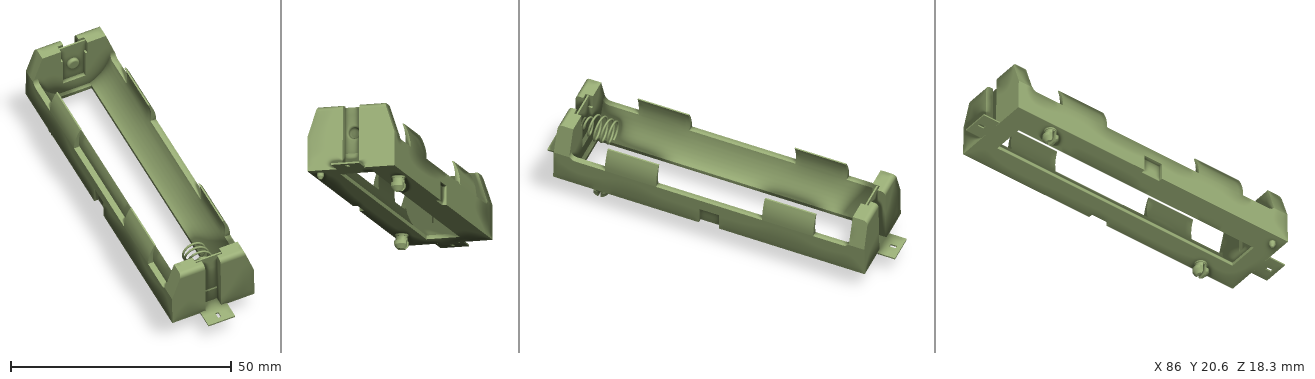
import cadquery as cq
import math

HOUSING_LENGTH = 77.0
HOUSING_WIDTH = 20.6
HOUSING_HEIGHT = 14.95
RAIL_TOP = 7.2
RAIL_FILLET = 1.5
WALL_INNER_X = 34.55
WALL_DRAFT = 0.22
WALL_TOP_FILLET = 1.1
BEVEL_START_Z = 8.0
BEVEL_INSET = 2.3

CELL_AXIS_Z = 9.1
CELL_RADIUS = 9.1
FLOOR_OPENING_X = 33.6
FLOOR_OPENING_Y = 3.95

CLIP_CENTER_X = 19.4
CLIP_LENGTH = 12.6
CLIP_TOP = 12.7

RECESS_WIDTH = 5.0
RECESS_HEIGHT = 4.4
RECESS_DEPTH = 1.0

PEG_X = 27.6
PEG_Y = 8.0
PEG_FLANGE_DIAMETER = 3.1
PEG_FLANGE_BOTTOM = -0.4
PEG_SHAFT_DIAMETER = 2.75
PEG_BARB_DIAMETER = 3.7
PEG_BARB_WIDTH = 2.75
PEG_BARB_TOP = -1.55
PEG_BARB_TAPER_TOP = -2.4
PEG_BOTTOM = -3.35
PEG_TIP_DIAMETER = 2.1
PEG_SPLIT_WIDTH = 0.8
PEG_SPLIT_TOP = -0.7

PIN_X = -35.8
PIN_DIAMETER = 1.55
PIN_SHOULDER = -0.8
PIN_TIP_DIAMETER = 0.7
PIN_BOTTOM = -1.5

SHEET = 0.39
TAB_TIP_X = -43.0
TAB_NECK_X = -38.6
TAB_WIDTH = 6.7
NECK_WIDTH = 3.9
TAB_HOLE_X = -41.1
TAB_HOLE_LENGTH = 1.55
TAB_HOLE_WIDTH = 0.8
PLATE_FACE_X = -35.9
STRIP_FOOT_X = -36.0
BEND_RADIUS = 0.35
PLATE_BOTTOM = 3.95
PLATE_TOP = 14.8
PLATE_WIDTH = 6.5

GROOVE_OUTER_X = -36.35
GROOVE_WIDTH = 6.6
WINDOW_WIDTH = 5.7
WINDOW_TOP = 11.5

CONTACT_AXIS_Z = 8.85

DIMPLE_HEIGHT = 0.95
DIMPLE_OUTER_DIAMETER = 2.9
DIMPLE_TIP_FILLET = 0.4
DIMPLE_INNER_DIAMETER = 2.6
DIMPLE_INNER_FILLET = 0.5

WIRE_DIAMETER = 0.5
SPRING_TIP_X = 28.1
SPRING_PITCH = 1.6
SPRING_TIP_RADIUS = 2.7
SPRING_BELLY_RADIUS = 3.0
SPRING_BELLY_X = 32.3
SPRING_NECK_X = 35.1
SPRING_ROOT_RADIUS = 1.3
SPRING_ROOT_GAP = 0.1
FLAT_TURNS = 0.35
FULL_PITCH_TURNS = 0.85
POINTS_PER_TURN = 12

PICK_MARGIN = 0.1


def box(x_min, x_max, width, z_min, z_max):
    """Block centred on the XZ plane."""
    return (
        cq.Workplane("XY", origin=((x_min + x_max) / 2, 0, z_min))
        .rect(x_max - x_min, width)
        .extrude(z_max - z_min)
    )


def both_ends(shape):
    return shape.union(shape.mirror("YZ"))


def edges_at(x, z):
    """Selector for edges that run across the housing at one X and Z."""
    return cq.selectors.BoxSelector(
        (x - PICK_MARGIN, -HOUSING_WIDTH, z - PICK_MARGIN),
        (x + PICK_MARGIN, HOUSING_WIDTH, z + PICK_MARGIN),
    )


def tray_blank():
    """Two tall end walls joined by low rails, bevelled along the sides."""
    foot_x = HOUSING_LENGTH / 2
    top_x = foot_x - WALL_DRAFT
    long_body = (
        cq.Workplane("XZ", origin=(0, HOUSING_WIDTH / 2, 0))
        .polyline([
            (-foot_x, 0), (foot_x, 0),
            (top_x, HOUSING_HEIGHT), (WALL_INNER_X, HOUSING_HEIGHT),
            (WALL_INNER_X, RAIL_TOP), (-WALL_INNER_X, RAIL_TOP),
            (-WALL_INNER_X, HOUSING_HEIGHT), (-top_x, HOUSING_HEIGHT),
        ])
        .close()
        .extrude(HOUSING_WIDTH)
    )
    wall_top_edges = edges_at(-top_x, HOUSING_HEIGHT) + edges_at(top_x, HOUSING_HEIGHT)
    rail_corners = edges_at(-WALL_INNER_X, RAIL_TOP) + edges_at(WALL_INNER_X, RAIL_TOP)
    long_body = long_body.edges("|Y").edges(wall_top_edges).fillet(WALL_TOP_FILLET)
    long_body = long_body.edges("|Y").edges(rail_corners).fillet(RAIL_FILLET)

    half_width = HOUSING_WIDTH / 2
    cross_section = (
        cq.Workplane("YZ", origin=(-foot_x, 0, 0))
        .polyline([
            (-half_width, 0), (half_width, 0), (half_width, BEVEL_START_Z),
            (half_width - BEVEL_INSET, HOUSING_HEIGHT),
            (-half_width + BEVEL_INSET, HOUSING_HEIGHT),
            (-half_width, BEVEL_START_Z),
        ])
        .close()
        .extrude(HOUSING_LENGTH)
    )
    return long_body.intersect(cross_section)


def clips():
    """Curved spring fingers that rise from the rails and hug the cell."""
    outer_radius = HOUSING_WIDTH / 2
    fingers = cq.Workplane("XY")
    for center_x in (-CLIP_CENTER_X, CLIP_CENTER_X):
        start_x = center_x - CLIP_LENGTH / 2
        arch = (
            cq.Workplane("YZ", origin=(start_x, 0, RAIL_TOP))
            .circle(outer_radius)
            .extrude(CLIP_LENGTH)
        )
        height_band = box(start_x, start_x + CLIP_LENGTH, HOUSING_WIDTH, RAIL_TOP, CLIP_TOP)
        fingers = fingers.union(arch.intersect(height_band))
    return fingers


def cell_trough():
    """Cylindrical cell space with a flat bottom at the floor opening's edge."""
    drop = math.sqrt(CELL_RADIUS**2 - FLOOR_OPENING_Y**2)
    cell = (
        cq.Workplane("YZ", origin=(-WALL_INNER_X, 0, CELL_AXIS_Z))
        .circle(CELL_RADIUS)
        .extrude(2 * WALL_INNER_X)
    )
    above_floor = box(
        -WALL_INNER_X, WALL_INNER_X, HOUSING_WIDTH, CELL_AXIS_Z - drop, CELL_AXIS_Z + CELL_RADIUS
    )
    return cell.intersect(above_floor)


def contact_pocket():
    """Slot, groove and window in the -X end wall."""
    plate_inner_x = PLATE_FACE_X + SHEET
    slot = box(-HOUSING_LENGTH / 2, GROOVE_OUTER_X, NECK_WIDTH, 0, HOUSING_HEIGHT)
    groove = box(GROOVE_OUTER_X, plate_inner_x, GROOVE_WIDTH, PLATE_BOTTOM, HOUSING_HEIGHT)
    window = box(plate_inner_x, -WALL_INNER_X, WINDOW_WIDTH, PLATE_BOTTOM, WINDOW_TOP)
    window_top = box(plate_inner_x, -WALL_INNER_X, GROOVE_WIDTH, WINDOW_TOP, HOUSING_HEIGHT)
    return slot.union(groove).union(window).union(window_top)


def side_recesses():
    notches = cq.Workplane("XY")
    for side in (-1, 1):
        notch = (
            cq.Workplane("XY", origin=(0, side * HOUSING_WIDTH / 2, 0))
            .rect(RECESS_WIDTH, 2 * RECESS_DEPTH)
            .extrude(RECESS_HEIGHT)
        )
        notches = notches.union(notch)
    return notches


def peg(x, y):
    """Split snap-in peg: flange, shaft, and a tapered barb with flat sides."""
    shaft_radius = PEG_SHAFT_DIAMETER / 2
    barb_radius = PEG_BARB_DIAMETER / 2
    flange = cq.Workplane("XY").circle(PEG_FLANGE_DIAMETER / 2).extrude(PEG_FLANGE_BOTTOM)
    turned = (
        cq.Workplane("XZ")
        .polyline([
            (0, 0), (shaft_radius, 0), (shaft_radius, PEG_BARB_TOP),
            (barb_radius, PEG_BARB_TOP), (barb_radius, PEG_BARB_TAPER_TOP),
            (PEG_TIP_DIAMETER / 2, PEG_BOTTOM), (0, PEG_BOTTOM),
        ])
        .close()
        .revolve(360, (0, 0, 0), (0, 1, 0))
    )
    side_flats = box(-barb_radius, barb_radius, PEG_BARB_WIDTH, PEG_BOTTOM, 0)
    split = box(
        -PEG_SPLIT_WIDTH / 2, PEG_SPLIT_WIDTH / 2, PEG_BARB_DIAMETER, PEG_BOTTOM, PEG_SPLIT_TOP
    )
    return turned.intersect(side_flats).union(flange).cut(split).translate((x, y, 0))


def locating_pin():
    radius = PIN_DIAMETER / 2
    return (
        cq.Workplane("XZ")
        .polyline([
            (0, 0), (radius, 0), (radius, PIN_SHOULDER),
            (PIN_TIP_DIAMETER / 2, PIN_BOTTOM), (0, PIN_BOTTOM),
        ])
        .close()
        .revolve(360, (0, 0, 0), (0, 1, 0))
        .translate((PIN_X, PEG_Y, 0))
    )


def make_housing():
    floor_opening = box(
        -FLOOR_OPENING_X, FLOOR_OPENING_X, 2 * FLOOR_OPENING_Y, 0, CELL_AXIS_Z
    )
    body = tray_blank().union(clips()).cut(cell_trough()).cut(floor_opening)
    body = body.cut(both_ends(contact_pocket())).cut(side_recesses())
    body = body.cut(both_ends(contact_sheet()))
    return body.union(peg(-PEG_X, -PEG_Y)).union(peg(PEG_X, PEG_Y)).union(locating_pin())


def contact_sheet():
    """Bent sheet at the -X end: solder tab, neck, leaning strip and wide plate."""
    bent_sheet = (
        cq.Workplane("XZ", origin=(0, TAB_WIDTH / 2, 0))
        .polyline([
            (TAB_TIP_X, 0), (STRIP_FOOT_X + SHEET, 0),
            (PLATE_FACE_X + SHEET, PLATE_BOTTOM), (PLATE_FACE_X + SHEET, PLATE_TOP),
            (PLATE_FACE_X, PLATE_TOP), (PLATE_FACE_X, PLATE_BOTTOM),
            (STRIP_FOOT_X, SHEET), (TAB_TIP_X, SHEET),
        ])
        .close()
        .extrude(TAB_WIDTH)
    )
    inner_bend = cq.selectors.NearestToPointSelector((STRIP_FOOT_X, 0, SHEET))
    bent_sheet = bent_sheet.edges("|Y").edges(inner_bend).fillet(BEND_RADIUS)

    tab = box(TAB_TIP_X, TAB_NECK_X, TAB_WIDTH, 0, SHEET)
    neck = box(TAB_NECK_X, PLATE_FACE_X + SHEET, NECK_WIDTH, 0, PLATE_BOTTOM)
    plate = box(PLATE_FACE_X, PLATE_FACE_X + SHEET, PLATE_WIDTH, PLATE_BOTTOM, PLATE_TOP)
    tab_hole = box(
        TAB_HOLE_X - TAB_HOLE_LENGTH / 2, TAB_HOLE_X + TAB_HOLE_LENGTH / 2, TAB_HOLE_WIDTH, 0, SHEET
    )
    return bent_sheet.intersect(tab.union(neck).union(plate)).cut(tab_hole)


def dimple_hollow():
    """Round hollow pressed in from the outer face, with a flared mouth and rounded bottom."""
    radius = DIMPLE_INNER_DIAMETER / 2
    fillet = DIMPLE_INNER_FILLET
    half_chord = fillet * math.sqrt(0.5)
    mouth_middle = (fillet - half_chord, radius + fillet - half_chord)
    bottom_middle = (DIMPLE_HEIGHT - fillet + half_chord, radius - fillet + half_chord)
    return (
        cq.Workplane("XY")
        .moveTo(0, 0)
        .lineTo(0, radius + fillet)
        .threePointArc(mouth_middle, (fillet, radius))
        .lineTo(DIMPLE_HEIGHT - fillet, radius)
        .threePointArc(bottom_middle, (DIMPLE_HEIGHT, radius - fillet))
        .lineTo(DIMPLE_HEIGHT, 0)
        .close()
        .revolve(360, (0, 0, 0), (1, 0, 0))
        .translate((PLATE_FACE_X, 0, CONTACT_AXIS_Z))
    )


def make_positive_contact():
    boss = (
        cq.Workplane("YZ", origin=(PLATE_FACE_X + SHEET, 0, CONTACT_AXIS_Z))
        .circle(DIMPLE_OUTER_DIAMETER / 2)
        .extrude(DIMPLE_HEIGHT)
        .faces(">X")
        .edges()
        .fillet(DIMPLE_TIP_FILLET)
    )
    return contact_sheet().union(boss).cut(dimple_hollow())


def blend(value, start, end, start_result, end_result):
    """Linear change between two results, held constant outside start..end."""
    share = min(max((value - start) / (end - start), 0), 1)
    return start_result + share * (end_result - start_result)


def spring_radius(x):
    """Coil radius: widens slowly from the tip to the belly, then shrinks to the root."""
    if x < SPRING_BELLY_X:
        return blend(x, SPRING_TIP_X, SPRING_BELLY_X, SPRING_TIP_RADIUS, SPRING_BELLY_RADIUS)
    return blend(x, SPRING_BELLY_X, SPRING_NECK_X, SPRING_BELLY_RADIUS, SPRING_ROOT_RADIUS)


def end_advance(turns):
    """Advance along the axis from a spring end: a flat start that eases into the full pitch."""
    if turns < FLAT_TURNS:
        return 0
    if turns < FULL_PITCH_TURNS:
        return SPRING_PITCH * (turns - FLAT_TURNS)**2 / (2 * (FULL_PITCH_TURNS - FLAT_TURNS))
    return SPRING_PITCH * (turns - (FLAT_TURNS + FULL_PITCH_TURNS) / 2)


def make_spring():
    """Left-hand coil around the contact axis, from its free tip to the plate."""
    root_x = -PLATE_FACE_X - SHEET - SPRING_ROOT_GAP
    length = root_x - SPRING_TIP_X
    total_turns = length / SPRING_PITCH + FLAT_TURNS + FULL_PITCH_TURNS
    steps = round(total_turns * POINTS_PER_TURN)
    points = []
    for step in range(steps + 1):
        turns = total_turns * step / steps
        if turns < total_turns / 2:
            x = SPRING_TIP_X + end_advance(turns)
        else:
            x = root_x - end_advance(total_turns - turns)
        angle = -math.pi / 2 - 2 * math.pi * turns
        radius = spring_radius(x)
        points.append(
            cq.Vector(x, radius * math.cos(angle), CONTACT_AXIS_Z + radius * math.sin(angle))
        )
    path = cq.Edge.makeSpline(points)
    wire_section = cq.Plane(origin=path.startPoint(), normal=path.tangentAt(0))
    return (
        cq.Workplane(wire_section)
        .circle(WIRE_DIAMETER / 2)
        .sweep(cq.Workplane(obj=cq.Wire.assembleEdges([path])), isFrenet=True)
    )


def make_negative_contact():
    return contact_sheet().mirror("YZ").union(make_spring())


housing = make_housing()
positive_contact = make_positive_contact()
negative_contact = make_negative_contact()

result = cq.Compound.makeCompound([
    housing.solids().val(),
    positive_contact.solids().val(),
    negative_contact.solids().val(),
])